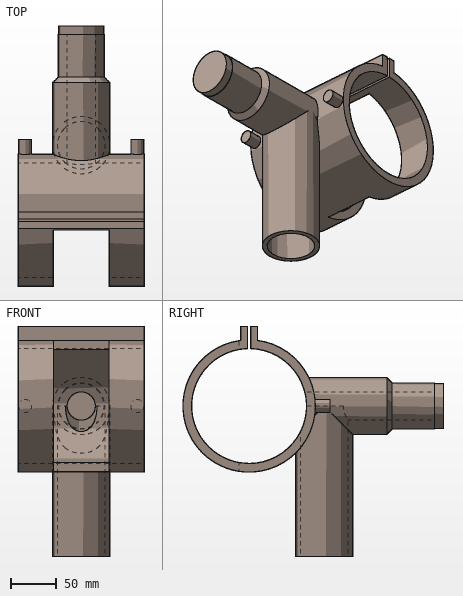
import cadquery as cq

ring_width = 138.0
ring_outer_radius = 72.2
ring_inner_radius = 62.5
ring_gap = 3.0
tang_top = 86.7
tang_span = 18.5
window_width = 60.8
window_back = -10.8

pipe_radius = 31.3
outlet_y = 82.0
outlet_bottom = -164.3
outlet_bore_radius = 26.0
spigot_bore_radius = 15.4
neck_radius = 25.3
neck_length = 46.3
cone_length = pipe_radius - neck_radius

overall_length = 284.3
cap_radius = 24.7
cap_thickness = 9.7
cap_end = overall_length - ring_outer_radius
neck_end = cap_end - cap_thickness
cone_end = neck_end - neck_length
cone_start = cone_end - cone_length

peg_radius = 7.0
peg_end = 88.1
peg_offset = 61.0


def cylinder_along_y(radius, start, end, x=0):
    profile_plane = cq.Plane(origin=(x, start, 0), xDir=(0, 0, 1), normal=(0, 1, 0))
    return cq.Workplane(profile_plane).circle(radius).extrude(end - start)


def cylinder_along_x(radius):
    profile_plane = cq.Plane(origin=(-ring_width / 2, 0, 0), xDir=(0, 0, 1), normal=(1, 0, 0))
    return cq.Workplane(profile_plane).circle(radius).extrude(ring_width)


def make_outlet(radius, top):
    profile_plane = cq.Plane(origin=(0, outlet_y, outlet_bottom), xDir=(0, -1, 0), normal=(0, 0, 1))
    return cq.Workplane(profile_plane).circle(radius).extrude(top - outlet_bottom)


def make_ring_blank():
    """Solid cylinder with the tang block on top; the bore and gap are cut later."""
    tangs = cq.Workplane("XY").box(ring_width, tang_span, tang_top, centered=(True, True, False))
    return cylinder_along_x(ring_outer_radius).union(tangs)


def make_spigot():
    """Stepped pipe, turned about the Y axis."""
    return (cq.Workplane("YZ")
            .moveTo(0, 0)
            .lineTo(0, pipe_radius)
            .lineTo(cone_start, pipe_radius)
            .lineTo(cone_end, neck_radius)
            .lineTo(neck_end, neck_radius)
            .lineTo(neck_end, 0)
            .close()
            .revolve(360, (0, 0, 0), (1, 0, 0)))


def make_saddle():
    """Clamp ring and elbow in one piece."""
    body = make_ring_blank().union(make_spigot()).union(make_outlet(pipe_radius, 0))
    for side in (-1, 1):
        body = body.union(cylinder_along_y(peg_radius, 0, peg_end, side * peg_offset))

    body = body.cut(cylinder_along_x(ring_inner_radius))
    gap = cq.Workplane("XY").box(ring_width, ring_gap, tang_top, centered=(True, True, False))
    body = body.cut(gap)

    window_depth = ring_outer_radius + window_back
    window = (cq.Workplane("XY")
              .box(window_width, window_depth, 2 * ring_outer_radius)
              .translate((0, window_back - window_depth / 2, 0)))
    body = body.cut(window)

    body = body.cut(make_outlet(outlet_bore_radius, 0))
    return body.cut(cylinder_along_y(spigot_bore_radius, 0, neck_end))


def make_cap():
    return cylinder_along_y(cap_radius, neck_end, cap_end)


saddle = make_saddle()
cap = make_cap()
result = cq.Compound.makeCompound([saddle.solids().val(), cap.val()])